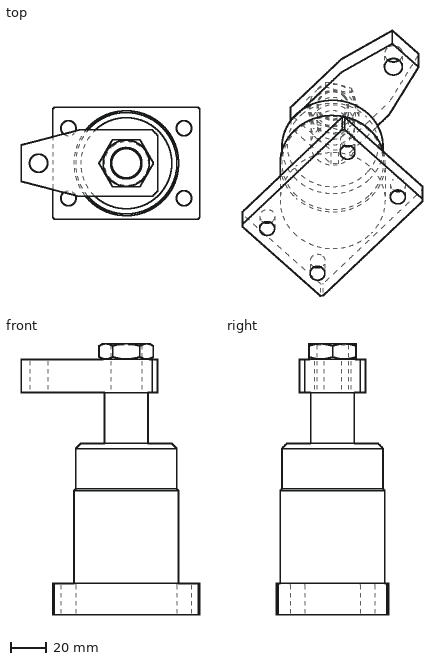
import cadquery as cq
import math

FLANGE_TOP = 18.0
SHOULDER_TOP = 71.9
HOUSING_TOP = 98.0
ARM_BOTTOM = 127.0
ARM_TOP = 146.0
NUT_TOP = 155.0

FLANGE_LENGTH = 84.0
FLANGE_WIDTH = 64.0
FLANGE_CHAMFER = 1.0
BOLT_SPACING_X = 66.0
BOLT_SPACING_Y = 40.0
BOLT_HOLE_DIAMETER = 8.5
BARREL_DIAMETER = 60.0
BARREL_RADIUS = BARREL_DIAMETER / 2
SHOULDER_WIDTH = 1.0
NECK_RADIUS = BARREL_RADIUS - SHOULDER_WIDTH
HOUSING_CHAMFER = 3.0

ROD_RADIUS = 12.5
STUD_RADIUS = 9.0
STUD_CHAMFER = 0.6

ARM_TIP_REACH = 60.0
ARM_TAPER_REACH = 27.0
ARM_BACK_REACH = 18.0
ARM_WIDTH = 38.0
ARM_TIP_WIDTH = 21.0
ARM_CHAMFER = 3.1
ARM_HOLE_REACH = 50.0
ARM_HOLE_DIAMETER = 10.2

NUT_ACROSS_FLATS = 27.0
HEX_HALF_ANGLE = 30
NUT_ACROSS_CORNERS = NUT_ACROSS_FLATS / math.cos(math.radians(HEX_HALF_ANGLE))
NUT_FACE_RADIUS = 13.2
NUT_CONE_ANGLE = 30


def make_housing():
    flange = (
        cq.Workplane("XY")
        .rect(FLANGE_LENGTH, FLANGE_WIDTH)
        .extrude(FLANGE_TOP)
        .edges("|Z")
        .chamfer(FLANGE_CHAMFER)
    )
    bolt_holes = (
        cq.Workplane("XY")
        .rect(BOLT_SPACING_X, BOLT_SPACING_Y, forConstruction=True)
        .vertices()
        .circle(BOLT_HOLE_DIAMETER / 2)
        .extrude(FLANGE_TOP)
    )
    barrel = (
        cq.Workplane("XY")
        .circle(BARREL_RADIUS)
        .extrude(SHOULDER_TOP)
        .faces(">Z")
        .chamfer(SHOULDER_WIDTH)
    )
    neck = (
        cq.Workplane("XY")
        .circle(NECK_RADIUS)
        .extrude(HOUSING_TOP)
        .faces(">Z")
        .chamfer(HOUSING_CHAMFER)
    )
    return flange.cut(bolt_holes).union(barrel).union(neck)


def make_rod():
    shank = (
        cq.Workplane("XY", origin=(0, 0, HOUSING_TOP))
        .circle(ROD_RADIUS)
        .extrude(ARM_BOTTOM - HOUSING_TOP)
    )
    stud = (
        cq.Workplane("XY", origin=(0, 0, ARM_BOTTOM))
        .circle(STUD_RADIUS)
        .extrude(NUT_TOP - ARM_BOTTOM)
        .faces(">Z")
        .chamfer(STUD_CHAMFER)
    )
    return shank.union(stud)


def make_arm():
    thickness = ARM_TOP - ARM_BOTTOM
    base = cq.Workplane("XY", origin=(0, 0, ARM_BOTTOM))
    outline = [
        (-ARM_TIP_REACH, -ARM_TIP_WIDTH / 2),
        (-ARM_TAPER_REACH, -ARM_WIDTH / 2),
        (ARM_BACK_REACH, -ARM_WIDTH / 2),
        (ARM_BACK_REACH, ARM_WIDTH / 2),
        (-ARM_TAPER_REACH, ARM_WIDTH / 2),
        (-ARM_TIP_REACH, ARM_TIP_WIDTH / 2),
    ]
    plate = base.polyline(outline).close().extrude(thickness)
    plate = plate.faces(">X").edges("|Z").chamfer(ARM_CHAMFER)
    tip_hole = base.center(-ARM_HOLE_REACH, 0).circle(ARM_HOLE_DIAMETER / 2).extrude(thickness)
    stud_hole = base.circle(STUD_RADIUS).extrude(thickness)
    return plate.cut(tip_hole).cut(stud_hole)


def make_nut():
    height = NUT_TOP - ARM_TOP
    corner_radius = NUT_ACROSS_CORNERS / 2
    cone_height = (corner_radius - NUT_FACE_RADIUS) * math.tan(math.radians(NUT_CONE_ANGLE))
    base = cq.Workplane("XY", origin=(0, 0, ARM_TOP))
    hexagon = base.polygon(6, NUT_ACROSS_CORNERS).extrude(height)
    turned_blank = (
        cq.Workplane("XZ")
        .moveTo(0, ARM_TOP)
        .lineTo(NUT_FACE_RADIUS, ARM_TOP)
        .lineTo(corner_radius, ARM_TOP + cone_height)
        .lineTo(corner_radius, NUT_TOP - cone_height)
        .lineTo(NUT_FACE_RADIUS, NUT_TOP)
        .lineTo(0, NUT_TOP)
        .close()
        .revolve(360, (0, 0, 0), (0, 1, 0))
    )
    bore = base.circle(STUD_RADIUS).extrude(height)
    return hexagon.intersect(turned_blank).cut(bore)


housing = make_housing()
rod = make_rod()
arm = make_arm()
nut = make_nut()

result = cq.Compound.makeCompound([housing.val(), rod.val(), arm.val(), nut.val()])